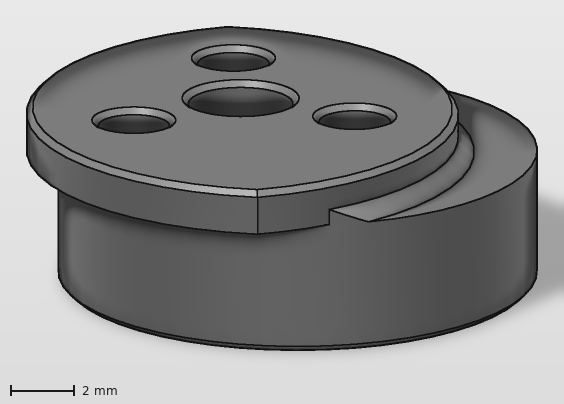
import cadquery as cq
import math

base_radius = 7.5
flange_radius = 8.5
total_height = 5.6
flange_thickness = 1.4
base_height = total_height - flange_thickness
edge_chamfer = 0.2

pivot_offset = 2.0
pivot_x = -pivot_offset
pivot_diameter = 3.28
small_hole_diameter = 2.24
small_hole_count = 3
small_hole_circle_radius = 4.0

swing_angle = math.radians(240)
swung_x = pivot_x + pivot_offset * math.cos(swing_angle)
swung_y = pivot_offset * math.sin(swing_angle)

ramp_size = 0.5


def make_base():
    """Round base with a chamfered lower edge."""
    return cq.Workplane("XY").circle(base_radius).extrude(base_height).faces("<Z").chamfer(edge_chamfer)


def make_flange():
    """Lens-shaped flange: the overlap of two equal circles, chamfered on top."""
    plane = cq.Workplane("XY").workplane(offset=base_height)
    centred_disc = plane.circle(flange_radius).extrude(flange_thickness)
    swung_disc = plane.center(swung_x, swung_y).circle(flange_radius).extrude(flange_thickness)
    return centred_disc.intersect(swung_disc).faces(">Z").edges().chamfer(edge_chamfer)


def make_ramp():
    """Cone around the swung arc, trimmed to the footprint of the base."""
    cone = (
        cq.Workplane("XY", origin=(swung_x, swung_y, base_height))
        .circle(flange_radius + ramp_size)
        .workplane(offset=ramp_size)
        .circle(flange_radius)
        .loft()
    )
    footprint = cq.Workplane("XY").circle(base_radius).extrude(total_height)
    return cone.intersect(footprint)


def make_hole(x, y, diameter):
    """Through-hole cutter with a chamfer at the top face."""
    radius = diameter / 2
    shaft = cq.Workplane("XY", origin=(x, y, 0)).circle(radius).extrude(total_height)
    mouth = (
        cq.Workplane("XY", origin=(x, y, total_height - edge_chamfer))
        .circle(radius)
        .workplane(offset=edge_chamfer)
        .circle(radius + edge_chamfer)
        .loft()
    )
    return shaft.union(mouth)


result = make_base().union(make_ramp()).union(make_flange())

result = result.cut(make_hole(pivot_x, 0, pivot_diameter))
for index in range(small_hole_count):
    angle = 2 * math.pi * index / small_hole_count
    hole_x = pivot_x + small_hole_circle_radius * math.cos(angle)
    hole_y = small_hole_circle_radius * math.sin(angle)
    result = result.cut(make_hole(hole_x, hole_y, small_hole_diameter))